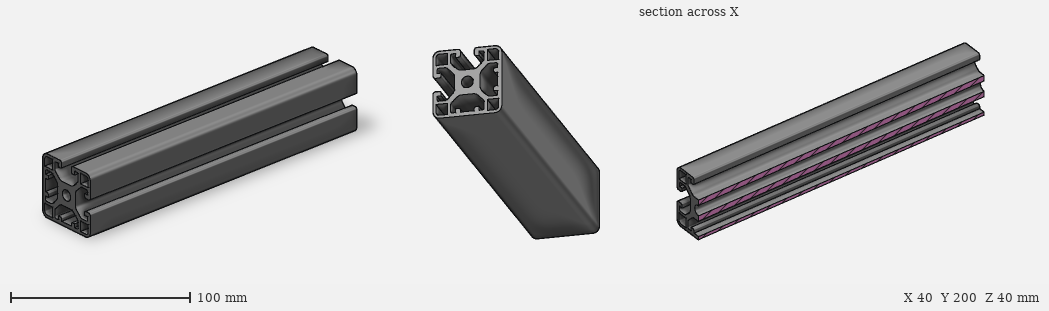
import cadquery as cq

LENGTH = 200.0
SIDE = 40.0
CORNER_RADIUS = 4.0
SKIN = 1.8
CHAMBER_INNER = 11.5
BORE_DIAMETER = 6.8

SLOT_HALF_WIDTH = 9.8
SLOT_CEILING = 2.5
SLOT_CORNER_RADIUS = 1.2
CORE_HALF = 7.5
RIB_OFFSET = 2.5
CORE_BLEND = 4.0
WALL_BLEND = 2.0

LIP_INNER = 4.0
LIP_OUTER = 6.8
LIP_DEPTH = 4.8
LIP_MOUTH_RADIUS = 1.5
LIP_TIP_RADIUS = 1.2

HALF = SIDE / 2
CEILING = HALF - SLOT_CEILING

OPEN_SLOTS = (0, 90)
CLOSED_SLOTS = (180, 270)
CORNERS = (0, 90, 180, 270)


def section():
    """Cross-section plane with x = X and y = Z, extruding towards -Y from the +Y end."""
    return cq.Workplane("XZ", origin=(0, LENGTH / 2, 0))


def turned(shape, angle):
    """Turn a shape about the profile axis, +Z towards +X for positive angles."""
    return shape.rotate((0, 0, 0), (0, 1, 0), angle)


def square_bar():
    return section().rect(SIDE, SIDE).extrude(LENGTH).edges("|Y").fillet(CORNER_RADIUS)


def corner_chamber():
    """Hollow in the +X +Z corner, concentric with the outer corner."""
    outer = HALF - SKIN
    size = outer - CHAMBER_INNER
    middle = (outer + CHAMBER_INNER) / 2
    block = section().center(middle, middle).rect(size, size).extrude(LENGTH)
    return block.edges("|Y and >X and >Z").fillet(CORNER_RADIUS - SKIN)


def slot_cavity():
    """Slot on the +Z side, widening from the core between two diagonal rib faces."""
    core_end = CORE_HALF - RIB_OFFSET
    wall_start = SLOT_HALF_WIDTH + RIB_OFFSET
    cavity = (
        section()
        .moveTo(-core_end, CORE_HALF)
        .lineTo(core_end, CORE_HALF)
        .lineTo(SLOT_HALF_WIDTH, wall_start)
        .lineTo(SLOT_HALF_WIDTH, CEILING)
        .lineTo(-SLOT_HALF_WIDTH, CEILING)
        .lineTo(-SLOT_HALF_WIDTH, wall_start)
        .close()
        .extrude(LENGTH)
    )
    cavity = cavity.edges("|Y exc >Z exc <Z").fillet(WALL_BLEND)
    cavity = cavity.edges("|Y and <Z").fillet(CORE_BLEND)
    return cavity.edges("|Y and >Z").fillet(SLOT_CORNER_RADIUS)


def lip_pair():
    """Lips hanging into the +Z slot on both sides of its opening."""
    width = LIP_OUTER - LIP_INNER
    lip = (
        section()
        .center((LIP_OUTER + LIP_INNER) / 2, HALF - LIP_DEPTH / 2)
        .rect(width, LIP_DEPTH)
        .extrude(LENGTH)
        .edges("|Y and <X and <Z")
        .fillet(LIP_TIP_RADIUS)
    )
    return lip.union(lip.mirror("YZ"))


def slot_opening():
    """Mouth through the flange over the +Z slot, flared by the rounded outer edges."""
    flare = LIP_INNER + LIP_MOUTH_RADIUS
    shoulder = HALF - LIP_MOUTH_RADIUS
    return (
        section()
        .moveTo(-LIP_INNER, CEILING)
        .lineTo(LIP_INNER, CEILING)
        .lineTo(LIP_INNER, shoulder)
        .radiusArc((flare, HALF), LIP_MOUTH_RADIUS)
        .lineTo(-flare, HALF)
        .radiusArc((-LIP_INNER, shoulder), LIP_MOUTH_RADIUS)
        .close()
        .extrude(LENGTH)
    )


result = square_bar()
for angle in CORNERS:
    result = result.cut(turned(corner_chamber(), angle))

slot = slot_cavity().cut(lip_pair())
for angle in OPEN_SLOTS + CLOSED_SLOTS:
    result = result.cut(turned(slot, angle))
for angle in OPEN_SLOTS:
    result = result.cut(turned(slot_opening(), angle))

bore = section().circle(BORE_DIAMETER / 2).extrude(LENGTH)
result = result.cut(bore)